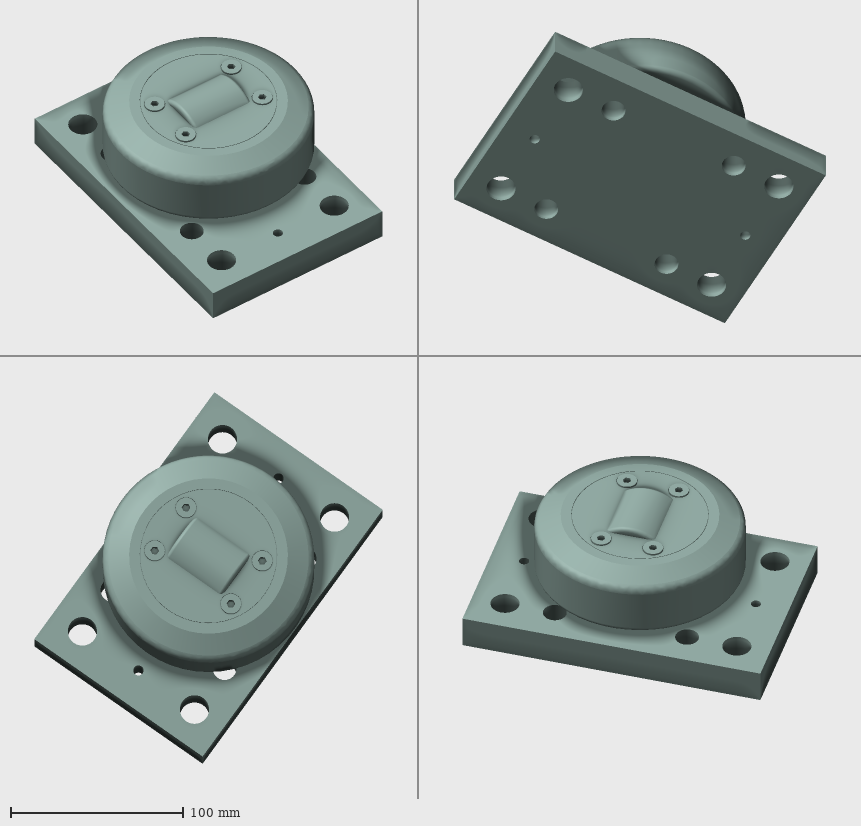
import cadquery as cq
import math

PLATE_LENGTH = 180.0
PLATE_WIDTH = 120.0
PLATE_THICKNESS = 20.0
MOUNT_HOLE_DIAMETER = 17.0
MOUNT_HOLE_X = 70.0
MOUNT_HOLE_Y = 40.0
PIN_HOLE_DIAMETER = 6.0
INNER_HOLE_DIAMETER = 13.9
INNER_HOLE_OFFSET = MOUNT_HOLE_Y

NECK_DIAMETER = 80.0
ROLLER_DIAMETER = 123.0
ROLLER_BOTTOM = 33.7
ROLLER_TOP = 71.1
TOP_FACE_DIAMETER = 92.2
CONE_ANGLE = 20.0
SHOULDER_FILLET = 5.0
LOWER_FILLET = 3.0

COVER_DIAMETER = NECK_DIAMETER
GAP_WIDTH = 0.4
GAP_DEPTH = 0.7

TOTAL_HEIGHT = 76.0
CROWN_RADIUS = 24.5
CROWN_LENGTH = 40.3
CROWN_FILLET = 2.3

SCREW_X = 15.7
SCREW_Y = 27.2
SCREW_HEAD_DIAMETER = 11.7
SCREW_HEAD_HEIGHT = 0.7
SCREW_RECESS_DIAMETER = 12.6
SOCKET_ACROSS_CORNERS = 5.0
SOCKET_DEPTH = 3.6


def corner_points(x, y):
    """Four points mirrored about both axes."""
    return [(sx * x, sy * y) for sx in (-1, 1) for sy in (-1, 1)]


def make_plate():
    plate = cq.Workplane("XY").box(
        PLATE_LENGTH, PLATE_WIDTH, PLATE_THICKNESS, centered=(True, True, False)
    )
    hole_groups = [
        (MOUNT_HOLE_DIAMETER, corner_points(MOUNT_HOLE_X, MOUNT_HOLE_Y)),
        (PIN_HOLE_DIAMETER, [(-MOUNT_HOLE_X, 0), (MOUNT_HOLE_X, 0)]),
        (INNER_HOLE_DIAMETER, corner_points(INNER_HOLE_OFFSET, INNER_HOLE_OFFSET)),
    ]
    for diameter, points in hole_groups:
        plate = plate.faces(">Z").workplane(origin=(0, 0, 0)).pushPoints(points).hole(diameter)
    return plate


def make_neck():
    return (
        cq.Workplane("XY")
        .workplane(offset=PLATE_THICKNESS)
        .circle(NECK_DIAMETER / 2)
        .extrude(ROLLER_BOTTOM - PLATE_THICKNESS)
    )


def make_roller():
    outer_radius = ROLLER_DIAMETER / 2
    top_radius = TOP_FACE_DIAMETER / 2
    cone_drop = (outer_radius - top_radius) * math.tan(math.radians(CONE_ANGLE))
    shoulder_height = ROLLER_TOP - cone_drop
    roller = (
        cq.Workplane("XZ")
        .moveTo(0, ROLLER_BOTTOM)
        .lineTo(outer_radius, ROLLER_BOTTOM)
        .lineTo(outer_radius, shoulder_height)
        .lineTo(top_radius, ROLLER_TOP)
        .lineTo(0, ROLLER_TOP)
        .close()
        .revolve(360, (0, 0), (0, 1))
    )
    roller = roller.faces("<Z").edges().fillet(LOWER_FILLET)
    shoulder = cq.selectors.NearestToPointSelector((0, 0, shoulder_height))
    return roller.edges(shoulder).fillet(SHOULDER_FILLET)


def make_cover_gap():
    return (
        cq.Workplane("XY")
        .workplane(offset=ROLLER_TOP - GAP_DEPTH)
        .circle(COVER_DIAMETER / 2)
        .circle(COVER_DIAMETER / 2 - GAP_WIDTH)
        .extrude(GAP_DEPTH)
    )


def make_crown():
    return (
        cq.Workplane("XZ", origin=(0, 0, TOTAL_HEIGHT - CROWN_RADIUS))
        .circle(CROWN_RADIUS)
        .extrude(CROWN_LENGTH / 2, both=True)
        .faces("<Y or >Y")
        .edges()
        .fillet(CROWN_FILLET)
        .intersect(
            cq.Workplane("XY", origin=(0, 0, ROLLER_TOP - GAP_DEPTH)).box(
                2 * CROWN_RADIUS, CROWN_LENGTH, CROWN_RADIUS, centered=(True, True, False)
            )
        )
    )


def make_screw_recesses():
    """Clearance in the cover around the screw heads."""
    return (
        cq.Workplane("XY", origin=(0, 0, ROLLER_TOP))
        .pushPoints(corner_points(SCREW_X, SCREW_Y))
        .circle(SCREW_RECESS_DIAMETER / 2)
        .extrude(-GAP_DEPTH)
    )


def make_screw_heads():
    return (
        cq.Workplane("XY", origin=(0, 0, ROLLER_TOP - GAP_DEPTH))
        .pushPoints(corner_points(SCREW_X, SCREW_Y))
        .circle(SCREW_HEAD_DIAMETER / 2)
        .extrude(GAP_DEPTH + SCREW_HEAD_HEIGHT)
    )


def make_screw_sockets():
    return (
        cq.Workplane("XY", origin=(0, 0, ROLLER_TOP + SCREW_HEAD_HEIGHT))
        .pushPoints(corner_points(SCREW_X, SCREW_Y))
        .polygon(6, SOCKET_ACROSS_CORNERS)
        .extrude(-SOCKET_DEPTH)
    )


result = (
    make_plate()
    .union(make_neck())
    .union(make_roller())
    .cut(make_cover_gap())
    .cut(make_screw_recesses())
    .union(make_crown())
    .union(make_screw_heads())
    .cut(make_screw_sockets())
)